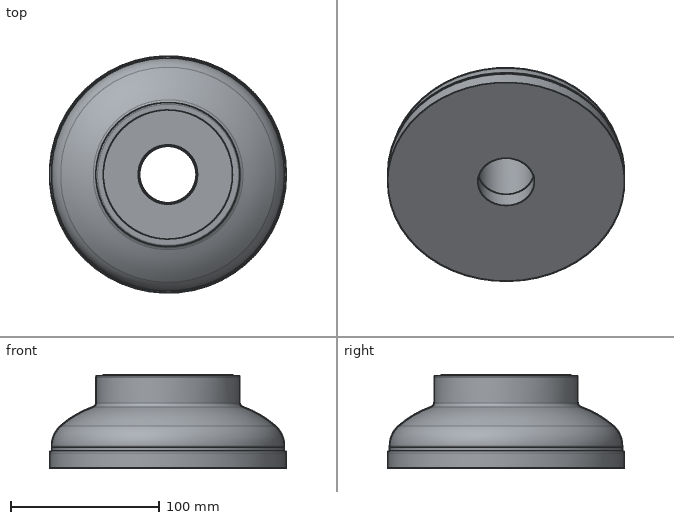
import cadquery as cq
import math

overall_height = 63.0
bore_radius = 38.11 / 2
skirt_radius = 157.44 / 2
base_height = 14.0

base_radius = 80.0
rim_top = 11.6
rim_round = base_radius - skirt_radius

bore_chamfer = 1.0
pad_radius = 87.25 / 2
pad_height = 0.5
neck_radius = 97.25 / 2
neck_edge_round = 1.0
neck_fillet = 3.0
shoulder_radius = 18.0
shoulder_start = 15.0
shoulder_rise = 13.5
flank_end_slope = math.radians(19.4)
flank_end_radius = neck_radius + neck_fillet * (1 - math.sin(flank_end_slope))

neck_top = overall_height - pad_height


def point_on_arc(center, radius, angle):
    """Point at the given angle, in radians, on a circle in the profile plane."""
    return (center[0] + radius * math.cos(angle), center[1] + radius * math.sin(angle))


def revolve_profile(profile):
    """Turn a closed radius-height profile once around the Z axis."""
    return profile.revolve(360, (0, 0, 0), (0, 1, 0))


def make_base():
    round_center = (skirt_radius, rim_top - rim_round)
    round_middle = point_on_arc(round_center, rim_round, math.pi / 4)
    profile = (
        cq.Workplane("XZ")
        .moveTo(bore_radius, 0)
        .lineTo(base_radius, 0)
        .lineTo(base_radius, rim_top - rim_round)
        .threePointArc(round_middle, (skirt_radius, rim_top))
        .lineTo(skirt_radius, base_height)
        .lineTo(bore_radius, base_height)
        .close()
    )
    return revolve_profile(profile)


def make_housing():
    shoulder_center = (skirt_radius - shoulder_radius, shoulder_start)
    shoulder_turn = math.asin(shoulder_rise / shoulder_radius)
    shoulder_middle = point_on_arc(shoulder_center, shoulder_radius, shoulder_turn / 2)
    shoulder_end = point_on_arc(shoulder_center, shoulder_radius, shoulder_turn)

    flank_end_angle = math.pi / 2 - flank_end_slope
    flank_width = shoulder_end[0] - flank_end_radius
    flank_radius = flank_width / (math.cos(shoulder_turn) - math.cos(flank_end_angle))
    flank_center = point_on_arc(shoulder_end, flank_radius, shoulder_turn + math.pi)
    flank_middle = point_on_arc(flank_center, flank_radius, (shoulder_turn + flank_end_angle) / 2)
    flank_end = point_on_arc(flank_center, flank_radius, flank_end_angle)

    fillet_center = point_on_arc(flank_end, neck_fillet, flank_end_angle)
    fillet_middle = point_on_arc(fillet_center, neck_fillet, math.pi + flank_end_angle / 2)
    fillet_end = point_on_arc(fillet_center, neck_fillet, math.pi)

    round_center = (neck_radius - neck_edge_round, neck_top - neck_edge_round)
    round_middle = point_on_arc(round_center, neck_edge_round, math.pi / 4)

    profile = (
        cq.Workplane("XZ")
        .moveTo(bore_radius, base_height)
        .lineTo(skirt_radius, base_height)
        .lineTo(skirt_radius, shoulder_start)
        .threePointArc(shoulder_middle, shoulder_end)
        .threePointArc(flank_middle, flank_end)
        .threePointArc(fillet_middle, fillet_end)
        .lineTo(neck_radius, round_center[1])
        .threePointArc(round_middle, (round_center[0], neck_top))
        .lineTo(pad_radius, neck_top)
        .lineTo(pad_radius, overall_height)
        .lineTo(bore_radius + bore_chamfer, overall_height)
        .lineTo(bore_radius, overall_height - bore_chamfer)
        .close()
    )
    return revolve_profile(profile)


base = make_base()
housing = make_housing()
result = cq.Compound.makeCompound([base.val(), housing.val()])